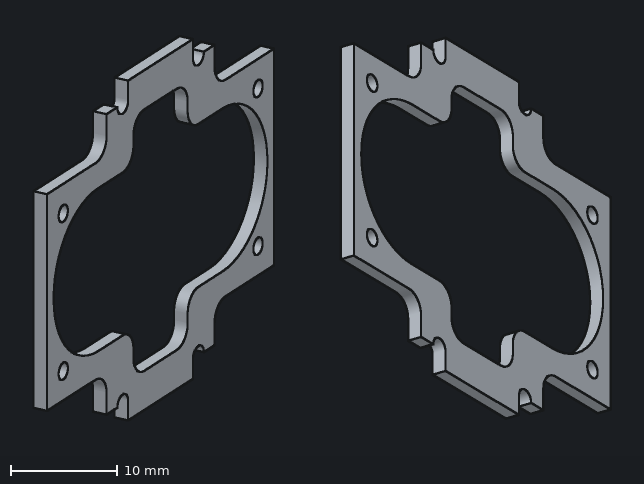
import cadquery as cq
import math

thickness = 1.5
yaw_offset = 0.03

plate_length = 42.0
plate_height = 22.0
shoulder_length = 20.0
shoulder_height = 30.5
tab_length = 12.0
tab_height = 34.5
corner_radius = 2.0

notch_radius = 1.0

slot_length = 39.5
slot_height = 16.5
window_length = 10.0
window_height = 26.5

hole_diameter = 1.7
hole_spacing_y = 36.0
hole_spacing_z = 16.0

yaw_angle = math.degrees(math.asin(yaw_offset / plate_length))


def sketch_plane():
    """YZ workplane on the -X face of the plate."""
    return cq.Workplane("YZ", origin=(-thickness / 2, 0, 0))


def block(length, height):
    """Centred rectangular slab as thick as the plate."""
    return sketch_plane().rect(length, height).extrude(thickness)


def corner_edges(length, height):
    """Selector for the four X-direction edges at (+-length/2, +-height/2)."""
    margin = corner_radius / 4
    selector = None
    for side_y in (-1, 1):
        for side_z in (-1, 1):
            y = side_y * length / 2
            z = side_z * height / 2
            box = cq.selectors.BoxSelector(
                (-thickness, y - margin, z - margin),
                (thickness, y + margin, z + margin),
            )
            selector = box if selector is None else selector + box
    return selector


def make_outer_body():
    """Plate with shoulders, filleted where the shoulders meet the plate, and the tabs."""
    body = block(plate_length, plate_height).union(block(shoulder_length, shoulder_height))
    body = body.edges(corner_edges(shoulder_length, plate_height)).fillet(corner_radius)
    return body.union(block(tab_length, tab_height))


def make_notches():
    """Round cutters centred on the shoulder edges beside the tabs."""
    notch_spacing = tab_length + 2 * notch_radius
    return (
        sketch_plane()
        .rect(notch_spacing, shoulder_height, forConstruction=True)
        .vertices()
        .circle(notch_radius)
        .extrude(thickness)
    )


def make_opening():
    """Round-ended slot joined with a rounded window."""
    slot = sketch_plane().slot2D(slot_length, slot_height).extrude(thickness)
    opening = slot.union(block(window_length, window_height))
    opening = opening.edges(corner_edges(window_length, slot_height)).fillet(corner_radius)
    return opening.edges(corner_edges(window_length, window_height)).fillet(corner_radius)


def make_screw_holes():
    """Four through holes near the plate corners."""
    return (
        sketch_plane()
        .rect(hole_spacing_y, hole_spacing_z, forConstruction=True)
        .vertices()
        .circle(hole_diameter / 2)
        .extrude(thickness)
    )


flat_plate = make_outer_body().cut(make_notches()).cut(make_opening()).cut(make_screw_holes())
result = flat_plate.rotate((0, 0, 0), (0, 0, 1), yaw_angle)